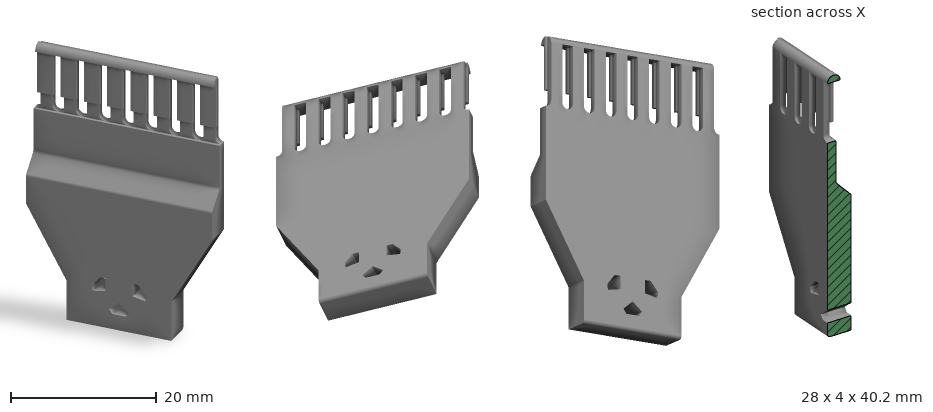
import cadquery as cq
import math


blade_width = 28.0
handle_height = 6.0
taper_top = 16.6
taper_angle = math.radians(60)
handle_width = blade_width - 2 * (taper_top - handle_height) / math.tan(taper_angle)
handle_thickness = 4.0
blade_thickness = 1.5
blade_top = 30.0
ramp_bottom = 20.94
ramp_top = ramp_bottom + (handle_thickness - blade_thickness)
edge_radius = 0.5

finger_count = 8
finger_pitch = blade_width / finger_count
finger_width = 1.8
finger_thickness = 1.0
slot_width = finger_pitch - finger_width
slot_radius = slot_width / 2
finger_row_width = blade_width - slot_width

pad_width = 2.35
pad_bottom = 32.6
pad_row_width = (finger_count - 1) * finger_pitch + pad_width
total_height = 40.2
bar_thickness = 2.2
bar_radius = bar_thickness / 2
bar_bottom = total_height - bar_radius

eye_outline = [(2.0, 7.55), (2.88, 7.55), (4.05, 6.15), (4.05, 5.6), (3.93, 5.27), (2.0, 5.65)]
nose_outline = [(0, 4.2), (1.5, 2.95), (1.0, 2.3), (-1.0, 2.3), (-1.5, 2.95)]


def extrude_across(profile, width):
    """Extrude a closed YZ profile symmetrically about X = 0."""
    return profile.extrude(width / 2, both=True)


def extrude_forward(profile, thickness):
    """Extrude a closed XZ profile from its plane towards -Y."""
    return profile.extrude(thickness)


def edge_near(y, z):
    """Selector for the edge along X whose middle is nearest to the given Y and Z."""
    return cq.selectors.NearestToPointSelector((0, y, z))


def finger_x_positions():
    first = -(finger_count - 1) * finger_pitch / 2
    return [first + i * finger_pitch for i in range(finger_count)]


def make_body():
    side = (
        cq.Workplane("YZ")
        .moveTo(0, 0)
        .lineTo(-handle_thickness, 0)
        .lineTo(-handle_thickness, ramp_bottom)
        .lineTo(-blade_thickness, ramp_top)
        .lineTo(-blade_thickness, blade_top)
        .lineTo(0, blade_top)
        .close()
    )
    body = extrude_across(side, blade_width)
    body = body.edges("|X and >Y and <Z").fillet(edge_radius)
    body = body.edges(edge_near(-handle_thickness, ramp_bottom)).fillet(edge_radius)
    body = body.edges(edge_near(-blade_thickness, ramp_top)).fillet(edge_radius)
    outline = cq.Workplane("XZ").polyline([
        (-handle_width / 2, 0),
        (handle_width / 2, 0),
        (handle_width / 2, handle_height),
        (blade_width / 2, taper_top),
        (blade_width / 2, blade_top),
        (-blade_width / 2, blade_top),
        (-blade_width / 2, taper_top),
        (-handle_width / 2, handle_height),
    ]).close()
    return body.intersect(extrude_forward(outline, handle_thickness))


def make_finger(x):
    """Finger whose foot flares out with a quarter round on each side."""
    left = x - finger_width / 2
    right = x + finger_width / 2
    round_top = blade_top + slot_radius
    sag = slot_radius * (1 - math.sqrt(0.5))
    finger = (
        cq.Workplane("XZ")
        .moveTo(left - slot_radius, blade_top)
        .threePointArc((left - sag, blade_top + sag), (left, round_top))
        .lineTo(left, bar_bottom)
        .lineTo(right, bar_bottom)
        .lineTo(right, round_top)
        .threePointArc((right + sag, blade_top + sag), (right + slot_radius, blade_top))
        .close()
    )
    return extrude_forward(finger, finger_thickness)


def make_pad(x):
    pad = (
        cq.Workplane("XZ", origin=(0, -finger_thickness, 0))
        .moveTo(x - pad_width / 2, pad_bottom)
        .lineTo(x + pad_width / 2, pad_bottom)
        .lineTo(x + pad_width / 2, bar_bottom)
        .lineTo(x - pad_width / 2, bar_bottom)
        .close()
    )
    return extrude_forward(pad, blade_thickness - finger_thickness)


def make_half_round_bar(width):
    """Bar along X with a flat underside and a half-round top."""
    profile = (
        cq.Workplane("YZ")
        .moveTo(0, bar_bottom)
        .threePointArc((-bar_radius, total_height), (-bar_thickness, bar_bottom))
        .close()
    )
    return extrude_across(profile, width)


def make_tip_bar():
    """Half-round bar joining the fingers; its part behind the pads is as wide as the finger row."""
    rear_zone = cq.Workplane("XY").box(
        blade_width, finger_thickness, total_height, centered=(True, False, False)
    ).translate((0, -finger_thickness, 0))
    rear = make_half_round_bar(finger_row_width).intersect(rear_zone)
    front = make_half_round_bar(pad_row_width).cut(rear_zone)
    return rear.union(front)


def cut_opening(body, points):
    outline = cq.Workplane("XZ").polyline(points).close()
    return body.cut(extrude_forward(outline, handle_thickness))


result = make_body().union(make_tip_bar())
for finger_x in finger_x_positions():
    result = result.union(make_finger(finger_x)).union(make_pad(finger_x))

mirrored_eye = [(-x, z) for x, z in eye_outline]
for opening in (eye_outline, mirrored_eye, nose_outline):
    result = cut_opening(result, opening)